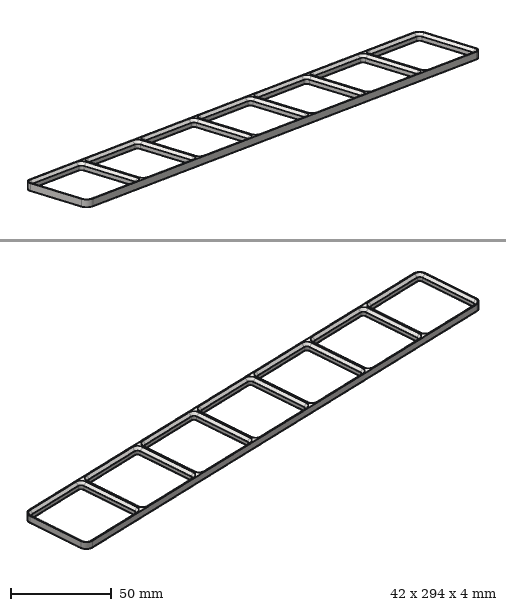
import cadquery as cq

cell_count = 7
length = 294.0
pitch = length / cell_count
height = 4.0

land_width = 0.5
lead_in = 1.65
lead_in_angle = 45
wall_inset = land_width + lead_in
straight_height = height - lead_in

wall_radius = 1.85
corner_radius = wall_radius + wall_inset


def cell_opening():
    """Space inside one cell: a straight wall that flares out to the mouth."""
    wall_side = pitch - 2 * wall_inset
    outline = cq.Sketch().rect(wall_side, wall_side).vertices().fillet(wall_radius)
    straight = cq.Workplane("XY").placeSketch(outline).extrude(straight_height)
    flare_base = cq.Workplane("XY").workplane(offset=straight_height).placeSketch(outline)
    flare = flare_base.extrude(lead_in, taper=-lead_in_angle)
    return straight.union(flare)


result = cq.Workplane("XY").box(pitch, length, height, centered=(True, True, False))
result = result.edges("|Z").fillet(corner_radius)

opening = cell_opening()
for index in range(cell_count):
    y_center = (index - (cell_count - 1) / 2) * pitch
    result = result.cut(opening.translate((0, y_center, 0)))